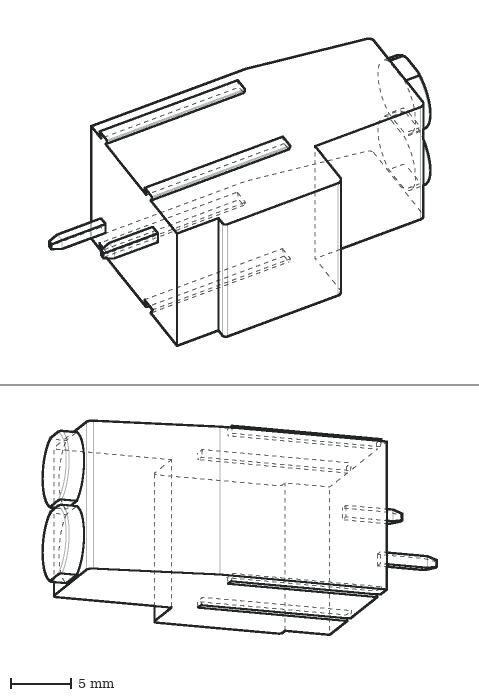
import cadquery as cq

pitch = 6.35
pole_count = 2
body_height = pole_count * pitch
pole_levels = [(pole + 0.5) * pitch for pole in range(pole_count)]

body_length = 25.5
base_width = 14.85
shelf_width = 15.85
tower_right = 11.0
shelf_bottom = 3.9
shelf_top = 15.1
slant_start = 14.55
slant_inset = 1.65
corner_radius = 0.5
step_radius = 0.3

rib_centers = (2.1, 9.9)
rib_length = 13.0
rib_height = 0.6
rib_wide = 1.4
rib_narrow = 0.8
rib_edge_radius = 0.06

head_diameter = 6.5
head_flat_width = 5.9
head_height = 1.5
head_center_x = 6.0
head_rim_radius = 0.2

pins = (
    (2.1, pole_levels[0], 0.8, 1.0),
    (11.1, pole_levels[1], 0.9, 1.0),
)
pin_length = 5.0
pin_tip_length = 0.9
pin_tip_scale = 0.55


def make_housing():
    outline = [
        (0, 0),
        (base_width, 0),
        (base_width, shelf_bottom),
        (shelf_width, shelf_bottom),
        (shelf_width, shelf_top),
        (tower_right, shelf_top),
        (tower_right, body_length),
        (slant_inset, body_length),
        (0, slant_start),
    ]
    rounded_corners = [
        (shelf_width, shelf_bottom, step_radius),
        (shelf_width, shelf_top, corner_radius),
        (tower_right, body_length, corner_radius),
        (slant_inset, body_length, corner_radius),
    ]
    housing = cq.Workplane("XY").polyline(outline).close().extrude(body_height)
    for x, y, radius in rounded_corners:
        edge = cq.selectors.NearestToPointSelector((x, y, body_height / 2))
        housing = housing.edges("|Z").edges(edge).fillet(radius)
    return housing


def make_dovetail(center_x, base_z):
    """Dovetail bar that widens upwards from base_z, running back from Y = 0."""
    profile = [
        (center_x - rib_narrow / 2, base_z),
        (center_x + rib_narrow / 2, base_z),
        (center_x + rib_wide / 2, base_z + rib_height),
        (center_x - rib_wide / 2, base_z + rib_height),
    ]
    return cq.Workplane("XZ").polyline(profile).close().extrude(-rib_length)


def make_rib(center_x):
    """Dovetail rib on the top face with its two long upper edges rounded."""
    rib = make_dovetail(center_x, body_height)
    return rib.faces(">Z").edges("|Y").fillet(rib_edge_radius)


def make_screw_head(center_z):
    """Round head with flats facing up and down and a rounded rim, standing on the tower end."""
    plane = cq.Workplane("XZ", origin=(head_center_x, body_length, center_z))
    disc = plane.circle(head_diameter / 2).extrude(-head_height)
    flats = plane.rect(head_diameter, head_flat_width).extrude(-head_height)
    disc = disc.faces(">Y").edges().fillet(head_rim_radius)
    return disc.intersect(flats)


def make_pin(center_x, center_z, width, height):
    """Rectangular pin pointing to -Y with a tapered tip."""
    shank_length = pin_length - pin_tip_length
    plane = cq.Workplane("XZ", origin=(center_x, 0, center_z))
    shank = plane.rect(width, height).extrude(shank_length)
    tip = (
        plane.workplane(offset=shank_length)
        .rect(width, height)
        .workplane(offset=pin_tip_length)
        .rect(width * pin_tip_scale, height * pin_tip_scale)
        .loft(ruled=True)
    )
    return shank.union(tip)


result = make_housing()
for rib_x in rib_centers:
    result = result.union(make_rib(rib_x))
    result = result.cut(make_dovetail(rib_x, 0))
for level in pole_levels:
    result = result.union(make_screw_head(level))
for pin in pins:
    result = result.union(make_pin(*pin))